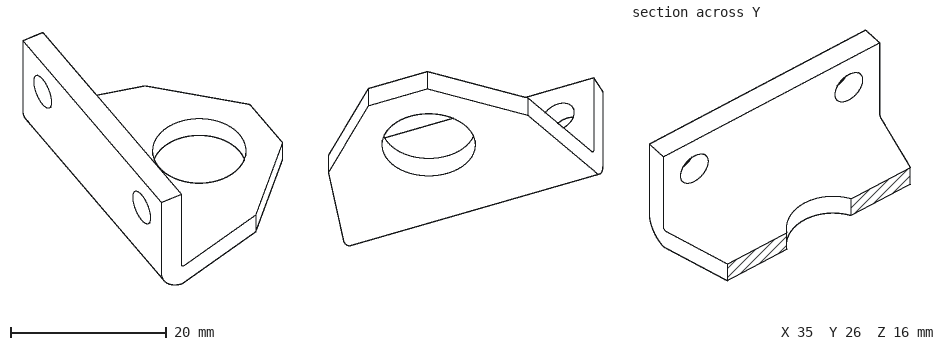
import cadquery as cq
import math

width = 35.0
depth = 26.0
height = 16.0
thickness = 3.0
inner_bend_radius = 0.5
outer_bend_radius = inner_bend_radius + thickness

mount_hole_diameter = 4.5
mount_hole_spacing = 25.0
mount_hole_from_top = 5.0

main_hole_diameter = 12.0
edge_distance = 10.0
main_hole_y = depth - edge_distance

corner_cut_sum = main_hole_y + edge_distance * math.sqrt(2)
back_half_width = corner_cut_sum - depth

taper_slope = math.tan(math.radians(15))
shoulder_y = (corner_cut_sum - width / 2 - taper_slope * thickness) / (1 - taper_slope)
shoulder_half_width = corner_cut_sum - shoulder_y


def bent_plate():
    """L-shaped section with a rounded bend, extruded along X and centred on X = 0."""
    profile = [
        (0, 0),
        (depth, 0),
        (depth, thickness),
        (thickness, thickness),
        (thickness, height),
        (0, height),
    ]
    outer_bend_edge = cq.NearestToPointSelector((0, 0, 0))
    inner_bend_edge = cq.NearestToPointSelector((0, thickness, thickness))
    plate = cq.Workplane("YZ").polyline(profile).close().extrude(width / 2, both=True)
    plate = plate.edges(outer_bend_edge).fillet(outer_bend_radius)
    return plate.edges(inner_bend_edge).fillet(inner_bend_radius)


def plan_outline():
    """Prism of the plan shape: full width at the upright, tapering to the cut-off back corners."""
    right_side = [
        (width / 2, 0),
        (width / 2, thickness),
        (shoulder_half_width, shoulder_y),
        (back_half_width, depth),
    ]
    left_side = [(-x, y) for x, y in reversed(right_side)]
    return cq.Workplane("XY").polyline(right_side + left_side).close().extrude(height)


def mount_holes():
    """Two cylinders through the upright flange along Y."""
    hole_z = height - mount_hole_from_top
    centers = [(side * mount_hole_spacing / 2, hole_z) for side in (-1, 1)]
    return (
        cq.Workplane("XZ")
        .pushPoints(centers)
        .circle(mount_hole_diameter / 2)
        .extrude(-thickness)
    )


def main_hole():
    """Cylinder through the base flange along Z."""
    return cq.Workplane("XY").center(0, main_hole_y).circle(main_hole_diameter / 2).extrude(thickness)


result = bent_plate().intersect(plan_outline()).cut(mount_holes()).cut(main_hole())